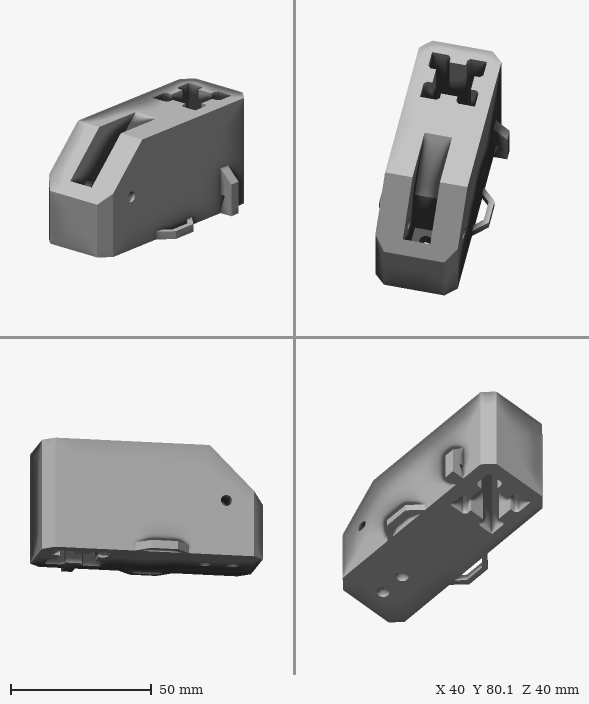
import cadquery as cq

length = 80.05
width = 30.0
height = 40.0
overall_width = 40.0
corner_chamfer = 4.0
nose_chamfer = 20.0
front_y = -length / 2
back_y = length / 2
side_x = width / 2
outer_x = overall_width / 2

socket_size = 20.0
socket_y = back_y - width / 2
rib_width = 6.0
rib_depth = rib_width / 2
rib_root_width = 8.0
rib_flare = (rib_root_width - rib_width) / 2

pocket_width = 10.0
pocket_length = 20.0
pocket_floor = 4.0
pocket_front_wall = 4.0
pocket_slope_run = 16.0
pocket_front_y = front_y + pocket_front_wall
pocket_back_y = pocket_front_y + pocket_length
pocket_center_y = (pocket_front_y + pocket_back_y) / 2
pin_diameter = 4.0
screw_diameter = 4.5
screw_spacing = pocket_length / 2

side_reach = outer_x - side_x
loop_y = -2.65
loop_height = 3.0
loop_thickness = 2.0
loop_outer_flat = 9.7
mitre_ratio = 2 ** 0.5 - 1
loop_inner_flat = loop_outer_flat - 2 * loop_thickness * mitre_ratio

catch_width = 4.0
catch_outer_height = 12.0
catch_root_height = catch_outer_height + side_reach
catch_gap_width = 2.0
catch_gap_height = 6.0
catch_gap_top = 7.05


def box(size_x, size_y, size_z):
    """Box centred on X = Y = 0, standing on Z = 0."""
    return cq.Workplane("XY").box(size_x, size_y, size_z, centered=(True, True, False))


def body():
    block = box(width, length, height).edges("|Z").chamfer(corner_chamfer)
    nose_waste = (
        cq.Workplane("YZ")
        .polyline([
            (front_y, height),
            (front_y + nose_chamfer, height),
            (front_y, height - nose_chamfer),
        ])
        .close()
        .extrude(width / 2, both=True)
    )
    return block.cut(nose_waste)


def socket():
    """Square opening less one flared rib on each wall."""
    opening = box(socket_size, socket_size, height)
    wall = socket_size / 2
    tip = wall - rib_depth
    rib = (
        cq.Workplane("XY")
        .polyline([
            (wall, -rib_root_width / 2),
            (wall - rib_flare, -rib_width / 2),
            (tip, -rib_width / 2),
            (tip, rib_width / 2),
            (wall - rib_flare, rib_width / 2),
            (wall, rib_root_width / 2),
        ])
        .close()
        .extrude(height)
    )
    for angle in (0, 90, 180, 270):
        opening = opening.cut(rib.rotate((0, 0, 0), (0, 0, 1), angle))
    return opening.translate((0, socket_y, 0))


def pocket():
    return (
        cq.Workplane("YZ")
        .polyline([
            (pocket_front_y, pocket_floor),
            (pocket_back_y, pocket_floor),
            (pocket_back_y, height - pocket_slope_run),
            (pocket_back_y + pocket_slope_run, height),
            (pocket_front_y, height),
        ])
        .close()
        .extrude(pocket_width / 2, both=True)
    )


def pin_hole():
    return (
        cq.Workplane("YZ")
        .center(pocket_center_y, height / 2)
        .circle(pin_diameter / 2)
        .extrude(width / 2, both=True)
    )


def screw_holes():
    return (
        cq.Workplane("XY")
        .pushPoints([(0, pocket_center_y + side * screw_spacing / 2) for side in (-1, 1)])
        .circle(screw_diameter / 2)
        .extrude(height)
    )


def loop_outline(reach, flat):
    """Trapezoid prism with 45-degree ends, standing on the +X side wall."""
    return (
        cq.Workplane("XY")
        .polyline([
            (side_x, loop_y - flat / 2 - reach),
            (side_x + reach, loop_y - flat / 2),
            (side_x + reach, loop_y + flat / 2),
            (side_x, loop_y + flat / 2 + reach),
        ])
        .close()
        .extrude(loop_height)
    )


def side_loop():
    outer = loop_outline(side_reach, loop_outer_flat)
    return outer.cut(loop_outline(side_reach - loop_thickness, loop_inner_flat))


def catch():
    start = cq.Workplane("XZ", origin=(0, socket_y + catch_width / 2, 0))
    lug = (
        start
        .polyline([
            (side_x, 0),
            (outer_x, 0),
            (outer_x, catch_outer_height),
            (side_x, catch_root_height),
        ])
        .close()
        .extrude(catch_width)
    )
    gap = (
        start
        .polyline([
            (side_x, catch_gap_top),
            (side_x + catch_gap_width, catch_gap_top),
            (side_x, catch_gap_top - catch_gap_height),
        ])
        .close()
        .extrude(catch_width)
    )
    return lug.cut(gap)


result = body().cut(socket()).cut(pocket()).cut(pin_hole()).cut(screw_holes())
result = result.union(side_loop()).union(side_loop().mirror("YZ")).union(catch())